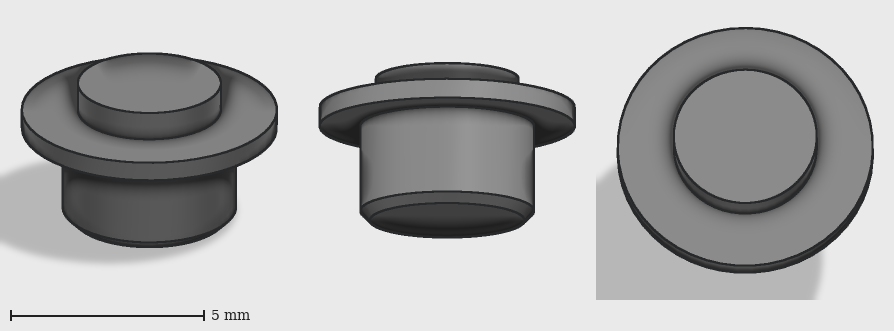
import cadquery as cq

body_diameter = 4.5
body_height = 2.5
body_chamfer = 0.25
flange_diameter = 6.6
flange_thickness = 0.5
boss_diameter = 3.7
boss_height = 0.75


def disc(diameter, height, base_z):
    """Upright cylinder on the Z axis, standing on base_z."""
    return cq.Workplane("XY").workplane(offset=base_z).circle(diameter / 2).extrude(height)


body = disc(body_diameter, body_height, 0).faces("<Z").edges().chamfer(body_chamfer)

flange = disc(flange_diameter, flange_thickness, body_height)

boss = disc(boss_diameter, boss_height, body_height + flange_thickness)

result = body.union(flange).union(boss)